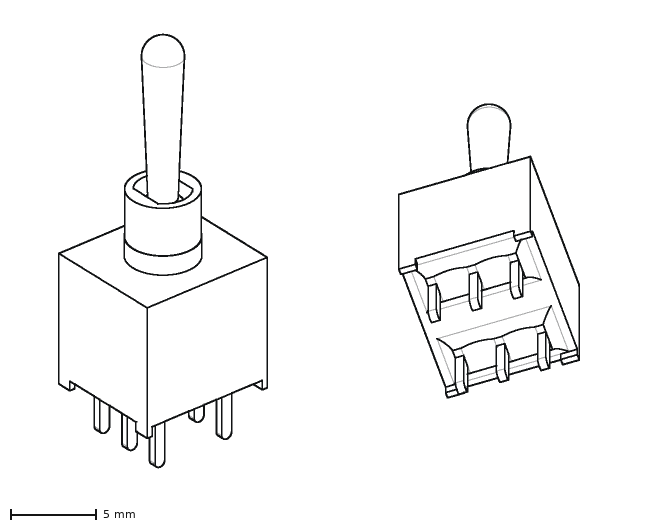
import cadquery as cq
import math

overall_height = 27.0

body_x = 8.13
body_y = 9.13
body_height = 8.89
foot_x = 1.03
foot_y = 0.38
foot_height = 0.65

collar_diameter = 4.56
collar_height = 1.3
bushing_diameter = 4.5
bushing_height = 4.55
bore_diameter = 3.48
bore_across_flats = 2.65

ball_radius = 1.27
lever_neck_radius = 0.92
pivot_radius = 1.57
pivot_depth = 1.9

pin_x = 0.5
pin_y = 0.75
pin_length = 3.3
pin_pitch_x = 2.55
pin_pitch_y = 5.08

ridge_height = 0.62
ridge_dip_height = 0.49
ridge_crest_y = 1.78
ridge_flare_width = 0.73
ridge_flare_middle = 0.27
ridge_flare_height = 0.22

bushing_top = body_height + bushing_height
pivot_z = bushing_top - pivot_depth
lever_top = overall_height - pin_length
ball_z = lever_top - ball_radius
recess_x = body_x - 2 * foot_x
recess_y = body_y - 2 * foot_y
pin_columns = (-pin_pitch_x, 0, pin_pitch_x)
pin_rows = (-pin_pitch_y / 2, pin_pitch_y / 2)


def cylinder(diameter, bottom, top):
    return cq.Workplane("XY").workplane(offset=bottom).circle(diameter / 2).extrude(top - bottom)


def make_housing():
    """Block with a cross-shaped underside recess that leaves four corner feet."""
    block = cq.Workplane("XY").box(body_x, body_y, body_height, centered=(True, True, False))
    along_x = cq.Workplane("XY").box(body_x, recess_y, foot_height, centered=(True, True, False))
    along_y = cq.Workplane("XY").box(recess_x, body_y, foot_height, centered=(True, True, False))
    return block.cut(along_x).cut(along_y)


def make_bushing():
    """Stepped bushing with a double-flatted bore that ends at the pivot centre."""
    collar = cylinder(collar_diameter, body_height, body_height + collar_height)
    barrel = cylinder(bushing_diameter, body_height, bushing_top)
    flats = (
        cq.Workplane("XY")
        .workplane(offset=pivot_z)
        .rect(bore_diameter, bore_across_flats)
        .extrude(pivot_depth)
    )
    bore = cylinder(bore_diameter, pivot_z, bushing_top).intersect(flats)
    return collar.union(barrel).cut(bore)


def make_lever():
    """Tapered lever with a ball end, rising from a half-sphere pivot on the bore floor."""
    ball_diagonal = ball_radius * math.sin(math.pi / 4)
    taper = (ball_radius - lever_neck_radius) / (ball_z - bushing_top)
    root_radius = lever_neck_radius - taper * pivot_depth
    handle = (
        cq.Workplane("XZ")
        .moveTo(0, pivot_z)
        .lineTo(root_radius, pivot_z)
        .lineTo(ball_radius, ball_z)
        .threePointArc((ball_diagonal, ball_z + ball_diagonal), (0, lever_top))
        .close()
        .revolve(360, (0, 0), (0, 1))
    )
    upper_half = cylinder(2 * pivot_radius, pivot_z, pivot_z + pivot_radius)
    sphere = cq.Workplane("XY").sphere(pivot_radius).translate((0, 0, pivot_z))
    return handle.union(sphere.intersect(upper_half))


def make_ridge(row_y):
    """Ridge with hollow flanks and ends, whose crest dips between the terminals."""
    flare_z = foot_height - ridge_flare_height
    crest_z = foot_height - ridge_height
    dip_z = foot_height - ridge_dip_height

    crest_half_y = ridge_crest_y / 2
    flanks = (
        cq.Workplane("YZ")
        .moveTo(row_y - crest_half_y - ridge_flare_width, foot_height)
        .threePointArc((row_y - crest_half_y - ridge_flare_middle, flare_z), (row_y - crest_half_y, crest_z))
        .lineTo(row_y + crest_half_y, crest_z)
        .threePointArc(
            (row_y + crest_half_y + ridge_flare_middle, flare_z),
            (row_y + crest_half_y + ridge_flare_width, foot_height),
        )
        .close()
        .extrude(body_x / 2, both=True)
    )

    crest_half_x = pin_pitch_x + pin_x / 2
    crest = (
        cq.Workplane("XZ")
        .moveTo(-crest_half_x - ridge_flare_width, foot_height)
        .threePointArc((-crest_half_x - ridge_flare_middle, flare_z), (-crest_half_x, crest_z))
    )
    for left, right in zip(pin_columns, pin_columns[1:]):
        crest = crest.lineTo(left + pin_x / 2, crest_z)
        crest = crest.threePointArc(((left + right) / 2, dip_z), (right - pin_x / 2, crest_z))
    crest = (
        crest.lineTo(crest_half_x, crest_z)
        .threePointArc(
            (crest_half_x + ridge_flare_middle, flare_z),
            (crest_half_x + ridge_flare_width, foot_height),
        )
        .close()
        .extrude(body_y / 2, both=True)
    )
    return flanks.intersect(crest)


def make_pin(column_x, row_y):
    """Flat terminal with a fully rounded tip."""
    tip_radius = pin_y / 2
    return (
        cq.Workplane("YZ")
        .workplane(offset=column_x - pin_x / 2)
        .moveTo(row_y - tip_radius, foot_height)
        .lineTo(row_y - tip_radius, tip_radius - pin_length)
        .threePointArc((row_y, -pin_length), (row_y + tip_radius, tip_radius - pin_length))
        .lineTo(row_y + tip_radius, foot_height)
        .close()
        .extrude(pin_x)
    )


result = make_housing().union(make_bushing()).union(make_lever())
for row_y in pin_rows:
    result = result.union(make_ridge(row_y))
    for column_x in pin_columns:
        result = result.union(make_pin(column_x, row_y))